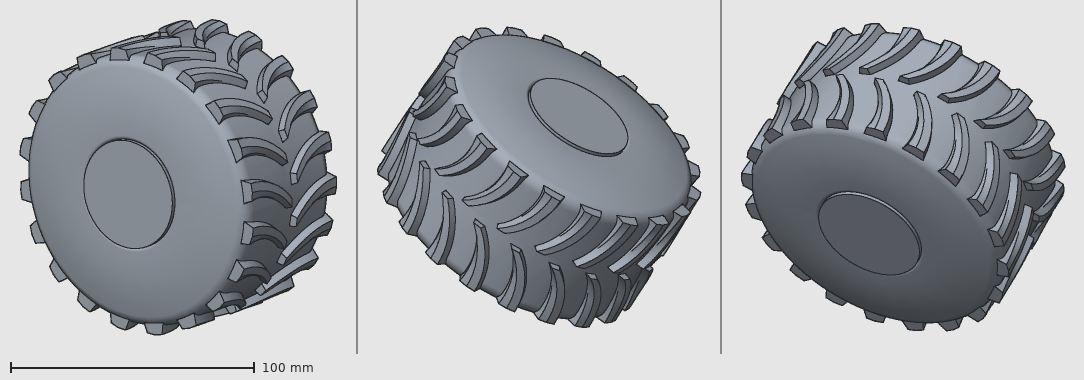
import cadquery as cq
import math

HUB_RADIUS = 22.7
HUB_WIDTH = 68.1

TREAD_RADIUS = 56.8
TREAD_HALF_WIDTH = 24.3
SHOULDER_RADIUS = 5.8
SHOULDER_END_ANGLE = 72.4
SIDEWALL_MID_RADIUS = 40.9
SIDEWALL_MID_HALF_WIDTH = 32.4
BORE_EDGE_FILLET = 1.6
BORE_EDGE_HALF_WIDTH = 33.3

OUTER_RADIUS = 60.2
LUGS_PER_ROW = 20
LUG_PITCH = 360 / LUGS_PER_ROW
LUG_INNER_Y = 2.2
LUG_OUTER_Y = 28.3
LUG_LENGTH = LUG_OUTER_Y - LUG_INNER_Y
LUG_FOOT_RADIUS = 52.3
LUG_SECTIONS = 7

LEADING_EDGE_X = -3.7
LEADING_EDGE_BEND = 34.5
RIDGE_X = 0.1
RIDGE_BEND = 34.9
TRAILING_BASE_X = 4.0
TRAILING_BASE_BEND = 30.1
TRAILING_BEND_START_Y = 22.9

TRAILING_EDGE_OUTER_RADIUS = 59.5
TRAILING_EDGE_INNER_RADIUS = 56.5
WALL_DRAFT = math.tan(math.radians(15))


def make_hub():
    return cq.Workplane("XZ").circle(HUB_RADIUS).extrude(HUB_WIDTH / 2, both=True)


def make_carcass():
    """Revolve the half profile about Y, then mirror it."""
    shoulder_center_x = TREAD_RADIUS - SHOULDER_RADIUS

    def shoulder_point(degrees):
        angle = math.radians(degrees)
        return (
            shoulder_center_x + SHOULDER_RADIUS * math.cos(angle),
            TREAD_HALF_WIDTH + SHOULDER_RADIUS * math.sin(angle),
        )

    fillet_end_y = BORE_EDGE_HALF_WIDTH - BORE_EDGE_FILLET
    fillet_mid_offset = BORE_EDGE_FILLET * (1 - math.sqrt(0.5))
    half = (
        cq.Workplane("XY")
        .moveTo(HUB_RADIUS, 0)
        .lineTo(TREAD_RADIUS, 0)
        .lineTo(TREAD_RADIUS, TREAD_HALF_WIDTH)
        .threePointArc(shoulder_point(SHOULDER_END_ANGLE / 2), shoulder_point(SHOULDER_END_ANGLE))
        .threePointArc(
            (SIDEWALL_MID_RADIUS, SIDEWALL_MID_HALF_WIDTH),
            (HUB_RADIUS + BORE_EDGE_FILLET, BORE_EDGE_HALF_WIDTH),
        )
        .threePointArc(
            (HUB_RADIUS + fillet_mid_offset, BORE_EDGE_HALF_WIDTH - fillet_mid_offset),
            (HUB_RADIUS, fillet_end_y),
        )
        .close()
        .revolve(360, (0, 0, 0), (0, 1, 0))
    )
    return half.union(half.mirror("XZ"), clean=False)


def bend_offset(bend_radius, distance):
    """Sideways offset of an arc at a distance from where it runs along Y."""
    return bend_radius - math.sqrt(bend_radius**2 - distance**2)


def height_at(radius, x):
    return math.sqrt(radius**2 - x**2)


def lug_section(y):
    """Five-sided cross-section of the lug in the plane at this Y."""
    distance = LUG_OUTER_Y - y
    leading_x = LEADING_EDGE_X + bend_offset(LEADING_EDGE_BEND, distance)
    ridge_x = RIDGE_X + bend_offset(RIDGE_BEND, distance)
    base_x = TRAILING_BASE_X + bend_offset(TRAILING_BASE_BEND, TRAILING_BEND_START_Y - y)

    drop = TRAILING_EDGE_OUTER_RADIUS - TRAILING_EDGE_INNER_RADIUS
    trailing_radius = TRAILING_EDGE_OUTER_RADIUS - drop * distance / LUG_LENGTH
    trailing_x = base_x - WALL_DRAFT * (trailing_radius - TREAD_RADIUS)

    foot_leading_x = leading_x - WALL_DRAFT * (OUTER_RADIUS - LUG_FOOT_RADIUS)
    foot_trailing_x = base_x + WALL_DRAFT * (TREAD_RADIUS - LUG_FOOT_RADIUS)
    corners = [
        (foot_leading_x, LUG_FOOT_RADIUS),
        (leading_x, OUTER_RADIUS),
        (ridge_x, OUTER_RADIUS),
        (trailing_x, trailing_radius),
        (foot_trailing_x, LUG_FOOT_RADIUS),
    ]
    points = [cq.Vector(x, y, height_at(radius, x)) for x, radius in corners]
    return cq.Wire.makePolygon(points, close=True)


def make_lug():
    step = LUG_LENGTH / (LUG_SECTIONS - 1)
    sections = [lug_section(LUG_INNER_Y + index * step) for index in range(LUG_SECTIONS)]
    return cq.Solid.makeLoft(sections)


def make_tyre():
    rear_lug = make_lug()
    front_lug = rear_lug.mirror("XZ").rotate(cq.Vector(), cq.Vector(0, 1, 0), LUG_PITCH / 2)
    lugs = [
        lug.rotate(cq.Vector(), cq.Vector(0, 1, 0), index * LUG_PITCH)
        for lug in (rear_lug, front_lug)
        for index in range(LUGS_PER_ROW)
    ]
    return cq.Workplane(make_carcass().val().fuse(*lugs))


hub = make_hub()
tyre = make_tyre()

result = cq.Compound.makeCompound([hub.val(), *tyre.solids().vals()])